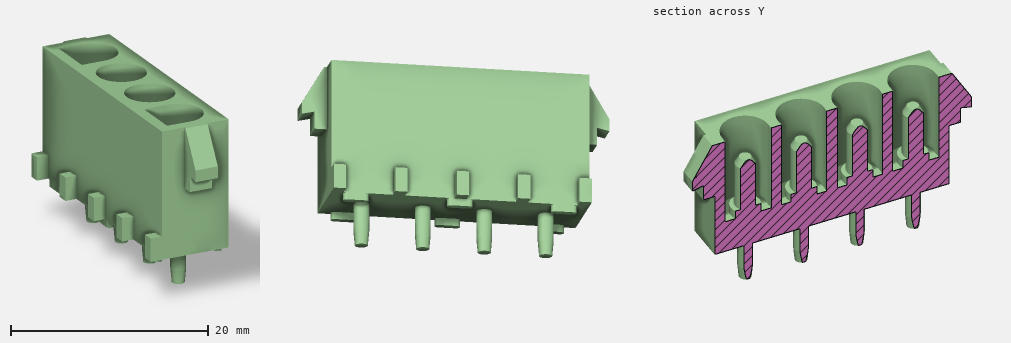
import cadquery as cq

pitch = 6.35
contact_count = 4
module = 1.27

body_length = contact_count * pitch + module
body_width = 6 * module
body_height = 11 * module

cavity_diameter = 5.2
cavity_floor = 3.8

tab_size = module
tab_height = 2 * module

overall_length = 31.75
hook_width = 2 * module
hook_top_flat = 0.3
hook_root = 0.15
hook_nose_top = 10.15
hook_nose_bottom = 8.9
hook_barb_root = 9.18
hook_stem_bottom = 7.37
hook_stem_depth = module

foot_length = 2.65
foot_width = 0.83
foot_height = 0.75
foot_end_inset = module

collar_diameter = 3.25
collar_height = 0.95
pin_diameter = 2.15
pin_top = 10.8
pin_tip_diameter = 1.27
pin_tip_length = 0.83
tail_diameter = 1.62
tail_end_diameter = 1.33
tail_straight_length = 2.85
tail_length = 4.38

contact_xs = [(i - (contact_count - 1) / 2) * pitch for i in range(contact_count)]
tab_xs = [(i - contact_count / 2) * pitch for i in range(contact_count + 1)]


def make_cavity(x, square_front):
    """Cutter for a round cavity, squared off on the -Y side for the end contacts."""
    depth = body_height - cavity_floor
    floor = cq.Workplane("XY", origin=(x, 0, cavity_floor))
    cavity = floor.circle(cavity_diameter / 2).extrude(depth)
    if square_front:
        front = floor.center(0, -cavity_diameter / 4).rect(cavity_diameter, cavity_diameter / 2)
        cavity = cavity.union(front.extrude(depth))
    return cavity


def make_hook():
    """Latch hook on the +X end."""
    wall = body_length / 2
    nose = overall_length / 2
    stem = wall + hook_stem_depth
    outline = [
        (wall - hook_root, body_height),
        (wall + hook_top_flat, body_height),
        (nose, hook_nose_top),
        (nose, hook_nose_bottom),
        (stem, hook_barb_root),
        (stem, hook_stem_bottom),
        (wall - hook_root, hook_stem_bottom),
    ]
    return cq.Workplane("XZ").polyline(outline).close().extrude(hook_width / 2, both=True)


def make_pin(x):
    """Turned contact: collar and tapered pin in the cavity, tapered tail below the housing."""
    profile = [
        (0, -tail_length),
        (tail_end_diameter / 2, -tail_length),
        (tail_diameter / 2, -tail_straight_length),
        (tail_diameter / 2, cavity_floor),
        (collar_diameter / 2, cavity_floor),
        (collar_diameter / 2, cavity_floor + collar_height),
        (pin_diameter / 2, cavity_floor + collar_height),
        (pin_diameter / 2, pin_top - pin_tip_length),
        (pin_tip_diameter / 2, pin_top),
        (0, pin_top),
    ]
    pin = cq.Workplane("XZ").polyline(profile).close().revolve(360, (0, 0, 0), (0, 1, 0))
    return pin.translate((x, 0, 0))


result = cq.Workplane("XY").box(body_length, body_width, body_height, centered=(True, True, False))
tab_y = -(body_width + tab_size) / 2
for x in tab_xs:
    tab = cq.Workplane("XY", origin=(x, tab_y, 0)).rect(tab_size, tab_size).extrude(tab_height)
    result = result.union(tab)

hook = make_hook()
result = result.union(hook).union(hook.mirror("YZ"))

foot_x = (body_length - foot_length) / 2 - foot_end_inset
foot_y = (body_width - foot_width) / 2
foot_points = [(x, y) for x in (-foot_x, 0, foot_x) for y in (-foot_y, foot_y)]
feet = cq.Workplane("XY").pushPoints(foot_points).slot2D(foot_length, foot_width).extrude(-foot_height)
result = result.union(feet)

end_contacts = (contact_xs[0], contact_xs[-1])
for x in contact_xs:
    result = result.cut(make_cavity(x, square_front=x in end_contacts))
for x in contact_xs:
    result = result.union(make_pin(x))